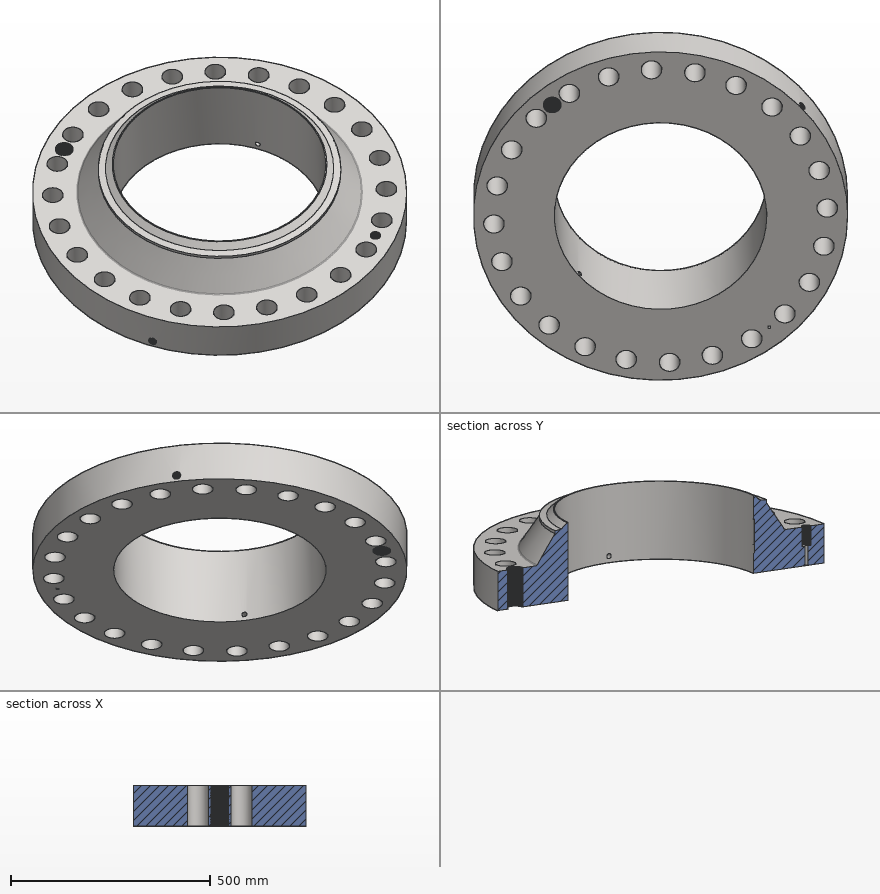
import cadquery as cq
import math

flange_diameter = 939.8
flange_thickness = 103.0
overall_height = 203.2

bore_radius = 266.7
hub_base_radius = 357.0
hub_fillet_radius = 3.0
pipe_radius = 304.8
neck_start_height = 179.5
shoulder_height = 187.0
bevel_base_radius = 286.5
bevel_base_height = 189.0
weld_land_width = 3.0

bolt_count = 24
bolt_circle_diameter = 838.2
bolt_hole_diameter = 51.5

thread_pitch = 3.175
thread_depth = 1.72

jack_screw_position = -418.0
jack_screw_diameter = 44.45
plug_position = 419.1
plug_diameter = 25.4
plug_depth = 50.8
plug_pilot_diameter = 7.0

tap_height = 17.5
tap_bore_diameter = 12.7
tap_socket_diameter = 20.5
tap_socket_depth = 25.4


def flange_body():
    """Revolve the flange, conical hub and bevelled weld end about Z."""
    profile = [
        (bore_radius, 0),
        (flange_diameter / 2, 0),
        (flange_diameter / 2, flange_thickness),
        (hub_base_radius, flange_thickness),
        (pipe_radius, neck_start_height),
        (pipe_radius, shoulder_height),
        (bevel_base_radius, bevel_base_height),
        (bore_radius + weld_land_width, overall_height),
        (bore_radius, overall_height),
    ]
    body = cq.Workplane("XZ").polyline(profile).close().revolve(360, (0, 0), (0, 1))
    hub_root = cq.selectors.RadiusNthSelector(-2)
    return body.edges("%CIRCLE").edges(hub_root).fillet(hub_fillet_radius)


def bolt_holes():
    """Through holes straddling the X and Y axes."""
    return (
        cq.Workplane("XY")
        .polarArray(bolt_circle_diameter / 2, 180 / bolt_count, 360, bolt_count)
        .circle(bolt_hole_diameter / 2)
        .extrude(flange_thickness)
    )


def threaded_hole(diameter, depth):
    """Cutter with its mouth at the origin, running down -Z, with ring grooves as thread."""
    crest_radius = diameter / 2 - thread_depth
    outline = [(0, 0), (diameter / 2, 0)]
    for turn in range(math.ceil(depth / thread_pitch)):
        top = -turn * thread_pitch
        outline.append((crest_radius, top - thread_pitch / 2))
        outline.append((diameter / 2, top - thread_pitch))
    outline.append((0, outline[-1][1]))
    return cq.Workplane("XZ").polyline(outline).close().revolve(360, (0, 0), (0, 1))


def jack_screw_hole():
    """Cutter for the threaded through hole on the -X side."""
    hole = threaded_hole(jack_screw_diameter, flange_thickness)
    return hole.translate((jack_screw_position, 0, flange_thickness))


def plug_hole():
    """Cutter for the threaded hole on the +X side and the through pilot hole below it."""
    pilot = cq.Workplane("XY").circle(plug_pilot_diameter / 2).extrude(-flange_thickness)
    hole = threaded_hole(plug_diameter, plug_depth).union(pilot)
    return hole.translate((plug_position, 0, flange_thickness))


def tap_holes():
    """Cutter for two opposed radial taps with threaded sockets, on one line along Y."""
    bore = cq.Workplane("XZ").circle(tap_bore_diameter / 2).extrude(flange_diameter / 2, both=True)
    socket = threaded_hole(tap_socket_diameter, tap_socket_depth)
    back_socket = socket.rotate((0, 0, 0), (1, 0, 0), -90).translate((0, flange_diameter / 2, 0))
    taps = bore.union(back_socket).union(back_socket.mirror("XZ"))
    return taps.translate((0, 0, tap_height))


result = (
    flange_body()
    .cut(bolt_holes())
    .cut(tap_holes())
    .cut(jack_screw_hole())
    .cut(plug_hole())
)